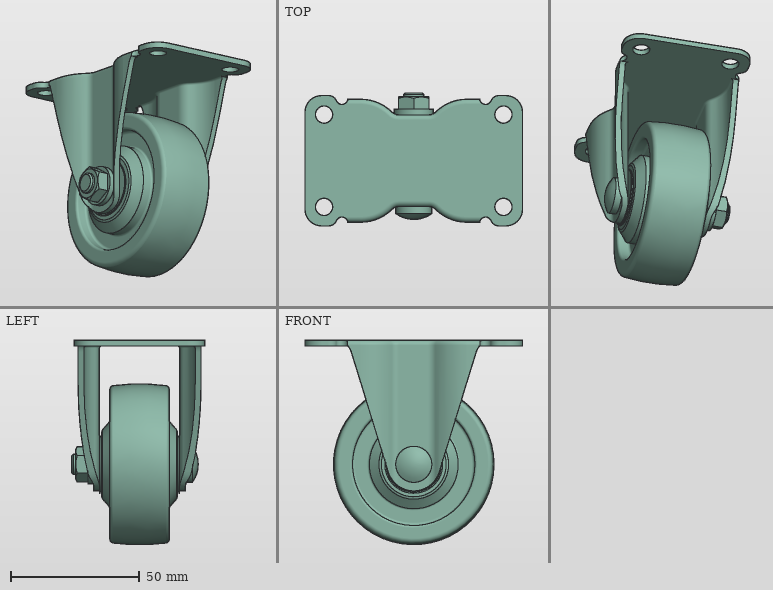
import cadquery as cq
import math


plate_length = 85.0
plate_width = 51.0
plate_top = 48.45
sheet = 2.3
corner_radius = 6.6
hole_diameter = 6.6
hole_pitch_x = 70.0
hole_pitch_y = 36.0
ear_start_x = 33.3
notch_x = 28.05
notch_radius = 2.3

leg_outer_y = 24.05
waist_outer_y = 17.9
waist_half_width = 5.8
shoulder_x = 20.7
waist_radius = 4.0
bend_radius = 2.0
inner_bend_radius = 0.85
leg_end_radius = 10.4
leg_taper = 17.2
flare_height = 2.1

wheel_radius = 31.45
tread_edge_radius = 30.8
tread_half_width = 10.4
tyre_half_width = 11.65
tyre_side_radius = 29.1
recess_radius = 23.9
recess_rim_radius = 24.9
recess_floor_radius = 22.9
web_half_width = 6.8
hub_radius = 17.3
hub_foot_half_width = 11.2
hub_fillet = 0.8
hub_edge_radius = 13.6
hub_face_radius = 12.7
hub_half_width = 14.8
hub_edge_chamfer = 0.3
neck_radius = 10.8
collar_radius = 11.3
collar_thickness = 0.25

axle_radius = 4.0
axle_end_y = 26.5
axle_end_chamfer = 0.7
head_radius = 7.05
head_rim_y = 20.65
head_top_y = 22.95
washer_radius = 7.65
washer_thickness = 2.2
nut_across_flats = 12.0
nut_end_y = 25.0
nut_face_radius = 5.8
nut_chamfer_angle = 30.0

plate_bottom = plate_top - sheet
notch_y = leg_outer_y - bend_radius
leg_inner_y = waist_outer_y - sheet
leg_root_x = notch_x - notch_radius

leg_run = shoulder_x - waist_half_width
leg_rise = leg_outer_y - waist_outer_y
shoulder_radius = (leg_run**2 + leg_rise**2) / (2 * leg_rise) - waist_radius
arc_turn = math.asin(leg_run / (shoulder_radius + waist_radius))


def shoulder_point(angle, depth):
    """Point on the right shoulder arc, `depth` inside the outer face."""
    radius = shoulder_radius - depth
    return (
        shoulder_x - radius * math.sin(angle),
        shoulder_radius - leg_outer_y - radius * math.cos(angle),
    )


def waist_point(angle, depth):
    """Point on the right waist arc, `depth` inside the outer face."""
    radius = waist_radius + depth
    return (
        waist_half_width + radius * math.sin(angle),
        radius * math.cos(angle) - waist_outer_y - waist_radius,
    )


def mirrored(point):
    return (-point[0], point[1])


def leg_block(half_length, depth, bottom, top):
    """Block from the leg line, `depth` inside the outer face, back to the plate's middle plane."""
    joint = waist_point(arc_turn, depth)
    shoulder_middle = shoulder_point(arc_turn / 2, depth)
    shoulder_start = shoulder_point(0, depth)
    waist_middle = waist_point(arc_turn / 2, depth)
    waist_start = waist_point(0, depth)
    return (
        cq.Workplane("XY", origin=(0, 0, bottom))
        .moveTo(-half_length, 0)
        .lineTo(-half_length, depth - leg_outer_y)
        .lineTo(*mirrored(shoulder_start))
        .threePointArc(mirrored(shoulder_middle), mirrored(joint))
        .threePointArc(mirrored(waist_middle), mirrored(waist_start))
        .lineTo(*waist_start)
        .threePointArc(waist_middle, joint)
        .threePointArc(shoulder_middle, shoulder_start)
        .lineTo(half_length, depth - leg_outer_y)
        .lineTo(half_length, 0)
        .close()
        .extrude(top - bottom)
    )


def round_leg_line(block, radius, height):
    """Round the top edges of a leg block that follow the leg line."""
    line_area = cq.selectors.BoxSelector(
        (-notch_x, -plate_width / 2, height - radius / 2),
        (notch_x, -plate_width / 4, height + radius / 2),
    )
    return block.faces(">Z").edges(line_area).fillet(radius)


def make_plate_end():
    """Plate end on the +X side; on each ear two tangent arcs lead from the notch to the long side."""
    run = ear_start_x - notch_x
    rise = plate_width / 2 - notch_y
    turn = math.asin(2 * run * rise / (run**2 + rise**2))
    join_x = notch_x + notch_radius * math.sin(turn)
    join_y = notch_y + notch_radius * (1 - math.cos(turn))
    end = (
        cq.Workplane("XY", origin=(0, 0, plate_bottom))
        .moveTo(leg_root_x, 0)
        .lineTo(leg_root_x, notch_y)
        .lineTo(notch_x, notch_y)
        .tangentArcPoint((join_x, join_y), relative=False)
        .tangentArcPoint((ear_start_x, plate_width / 2), relative=False)
        .lineTo(plate_length / 2, plate_width / 2)
        .lineTo(plate_length / 2, 0)
        .close()
        .extrude(sheet)
        .edges("|Z and >X and >Y")
        .fillet(corner_radius)
    )
    return end.union(end.mirror("XZ"))


def make_leg_outline():
    """Side outline of a leg: round end, straight taper, flared root and the full-width plate."""
    taper = math.radians(leg_taper)
    tangent = (leg_end_radius * math.cos(taper), -leg_end_radius * math.sin(taper))
    flare_z = plate_bottom - flare_height
    flare_start = (tangent[0] + (flare_z - tangent[1]) * math.tan(taper), flare_z)
    return (
        cq.Workplane("XZ")
        .moveTo(0, plate_top)
        .lineTo(0, -leg_end_radius)
        .threePointArc(
            (leg_end_radius * math.sin(math.pi / 4), -leg_end_radius * math.cos(math.pi / 4)),
            tangent,
        )
        .lineTo(*flare_start)
        .tangentArcPoint((leg_root_x, plate_bottom), relative=False)
        .lineTo(notch_x, plate_bottom)
        .lineTo(notch_x, plate_top)
        .close()
        .extrude(plate_width / 2)
    )


def make_root_notches():
    """Round reliefs between the -Y leg and the two ears beside it."""
    return (
        cq.Workplane("XY", origin=(0, -notch_y - notch_radius, plate_bottom))
        .pushPoints([(-notch_x, 0), (notch_x, 0)])
        .circle(notch_radius)
        .extrude(sheet)
    )


def make_half_fork():
    """The -Y leg, bent down from its half of the plate's middle."""
    block = leg_block(notch_x, 0, -leg_end_radius, plate_top)
    block = round_leg_line(block, bend_radius, plate_top)
    inside = leg_block(2 * notch_x, sheet, -2 * leg_end_radius, plate_bottom)
    inside = round_leg_line(inside, inner_bend_radius, plate_bottom)
    outline = make_leg_outline()
    outline = outline.union(outline.mirror("YZ"))
    return block.cut(inside).intersect(outline).cut(make_root_notches())


def make_bracket():
    half_fork = make_half_fork()
    plate_end = make_plate_end()
    bracket = half_fork.union(half_fork.mirror("XZ")).union(plate_end).union(plate_end.mirror("YZ"))
    mounting_holes = (
        cq.Workplane("XY", origin=(0, 0, plate_bottom))
        .rect(hole_pitch_x, hole_pitch_y, forConstruction=True)
        .vertices()
        .circle(hole_diameter / 2)
        .extrude(sheet)
    )
    axle_hole = cq.Workplane("XZ").circle(axle_radius).extrude(plate_width / 2, both=True)
    return bracket.cut(mounting_holes).cut(axle_hole)


def make_wheel():
    """Two mirrored halves revolved about Y, with a crowned tread around them."""
    floor_fillet = recess_radius - recess_floor_radius
    rim_fillet = recess_rim_radius - recess_radius
    half = (
        cq.Workplane("XY")
        .moveTo(axle_radius, 0)
        .lineTo(axle_radius, leg_inner_y)
        .lineTo(collar_radius, leg_inner_y)
        .lineTo(collar_radius, leg_inner_y - collar_thickness)
        .lineTo(neck_radius, leg_inner_y - collar_thickness)
        .lineTo(neck_radius, hub_half_width)
        .lineTo(hub_face_radius, hub_half_width)
        .lineTo(hub_edge_radius, hub_half_width - hub_edge_chamfer)
        .lineTo(hub_radius, hub_foot_half_width)
        .lineTo(hub_radius, web_half_width + hub_fillet)
        .radiusArc((hub_radius + hub_fillet, web_half_width), -hub_fillet)
        .lineTo(recess_floor_radius, web_half_width)
        .radiusArc((recess_radius, web_half_width + floor_fillet), -floor_fillet)
        .lineTo(recess_radius, tyre_half_width - rim_fillet)
        .radiusArc((recess_rim_radius, tyre_half_width), rim_fillet)
        .lineTo(tyre_side_radius, tyre_half_width)
        .tangentArcPoint((tread_edge_radius, tread_half_width), relative=False)
        .lineTo(tread_edge_radius, 0)
        .close()
        .revolve(360, (0, 0, 0), (0, 1, 0))
    )
    crown = (
        cq.Workplane("XY")
        .moveTo(tyre_side_radius, -tread_half_width)
        .lineTo(tread_edge_radius, -tread_half_width)
        .threePointArc((wheel_radius, 0), (tread_edge_radius, tread_half_width))
        .lineTo(tyre_side_radius, tread_half_width)
        .close()
        .revolve(360, (0, 0, 0), (0, 1, 0))
    )
    return half.union(half.mirror("XZ")).union(crown)


def make_nut():
    """Hexagon nut standing on a corner, with its outer corners turned to a cone."""
    across_corners = 2 * nut_across_flats / math.sqrt(3)
    nut_start_y = waist_outer_y + washer_thickness
    length = nut_end_y - nut_start_y
    hexagon = cq.Workplane("XZ", origin=(0, nut_end_y, 0)).polygon(6, across_corners).extrude(length)
    hexagon = hexagon.rotate((0, 0, 0), (0, 1, 0), 30)
    corner_width = across_corners / 2 - nut_face_radius
    turned = (
        cq.Workplane("XZ", origin=(0, nut_end_y, 0))
        .circle(across_corners / 2)
        .extrude(length)
        .faces(">Y")
        .chamfer(corner_width * math.tan(math.radians(nut_chamfer_angle)), corner_width)
    )
    return hexagon.intersect(turned)


def make_axle():
    """Domed bolt with the washer and nut on its far end, revolved about Y."""
    dome_height = head_top_y - head_rim_y
    dome_radius = (head_radius**2 + dome_height**2) / (2 * dome_height)
    section = (
        cq.Workplane("XY")
        .moveTo(0, -head_top_y)
        .radiusArc((head_radius, -head_rim_y), -dome_radius)
        .lineTo(head_radius, -waist_outer_y)
        .lineTo(axle_radius, -waist_outer_y)
        .lineTo(axle_radius, waist_outer_y)
        .lineTo(washer_radius, waist_outer_y)
        .lineTo(washer_radius, waist_outer_y + washer_thickness)
        .lineTo(axle_radius, waist_outer_y + washer_thickness)
        .lineTo(axle_radius, axle_end_y - axle_end_chamfer)
        .lineTo(axle_radius - axle_end_chamfer, axle_end_y)
        .lineTo(0, axle_end_y)
        .close()
        .revolve(360, (0, 0, 0), (0, 1, 0))
    )
    return section.union(make_nut())


bracket = make_bracket()
wheel = make_wheel()
axle = make_axle()
result = cq.Compound.makeCompound([bracket.solids().val(), wheel.solids().val(), axle.solids().val()])